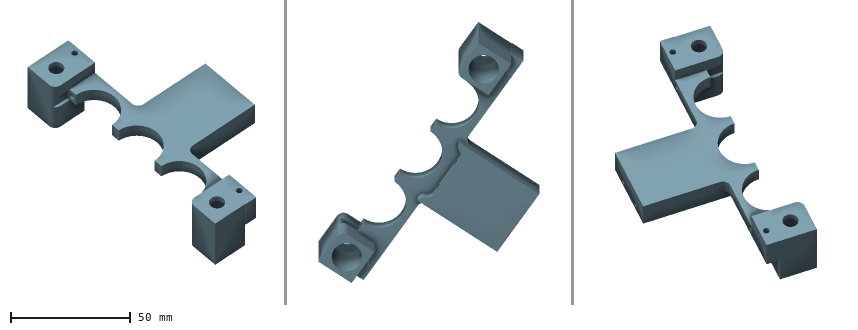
import cadquery as cq


arm_back = 14.2
arm_thickness = 6.4
cradle_pitch = 26.9
cradle_diameter = 22.6
arm_hole_x = 41.0
arm_hole_diameter = 3.1

tab_width = 31.1
tab_back = 52.2
tab_drop = 5.1
tab_front = 11.7
corner_radius = 3.3
tab_hole_x = 6.6
tab_hole_diameter = 2.8
recess_half_width = 9.5

block_outer_x = 59.1
block_width = 16.8
block_front = -8.5
block_top = 12.8
block_bottom = -12.9
foot_back = 8.2
slot_depth = 1.4
side_pad = 0.2
lip_thickness = 2.8
rod_hole_diameter = 6.7
rod_bore_diameter = 12.7
pin_hole_x = 51.8
pin_hole_y = 11.4
pin_hole_diameter = 2.8

block_inner_x = block_outer_x - block_width
block_center_x = block_outer_x - block_width / 2
slot_x = block_inner_x + slot_depth
half_tab = tab_width / 2


def box(x_min, x_max, y_min, y_max, z_min, z_max):
    size = (x_max - x_min, y_max - y_min, z_max - z_min)
    return cq.Workplane("XY").box(*size, centered=False).translate((x_min, y_min, z_min))


def upright_cylinder(x, y, diameter, z_min, z_max):
    disc = cq.Workplane("XY", origin=(x, y, z_min)).circle(diameter / 2)
    return disc.extrude(z_max - z_min)


def hole_along_y(x, z, diameter, y_min, y_max):
    disc = cq.Workplane("XZ", origin=(x, y_max, z)).circle(diameter / 2)
    return disc.extrude(y_max - y_min)


def make_arm():
    """Arm and upper tab layer, blended at the inside corners."""
    arm = box(-slot_x, slot_x, 0, arm_back, 0, arm_thickness)
    arm = arm.union(box(-half_tab, half_tab, 0, tab_back, 0, arm_thickness))
    for side in (-1, 1):
        corner = cq.selectors.NearestToPointSelector((side * half_tab, arm_back, arm_thickness / 2))
        arm = arm.edges("|Z").edges(corner).fillet(corner_radius)
    for index in (-1, 0, 1):
        arm = arm.cut(upright_cylinder(index * cradle_pitch, 0, cradle_diameter, 0, arm_thickness))
    return arm


def make_tab_underside():
    """Lower tab layer whose front is recessed between two S-shaped shoulders."""
    middle_x = (half_tab + recess_half_width) / 2
    run = middle_x - recess_half_width
    rise = corner_radius - (corner_radius**2 - run**2) ** 0.5
    recess_y = tab_front + 2 * rise
    middle_y = tab_front + rise
    outline = (
        cq.Workplane("XY", origin=(0, 0, -tab_drop))
        .moveTo(-half_tab, tab_back)
        .lineTo(-half_tab, tab_front)
        .radiusArc((-middle_x, middle_y), -corner_radius)
        .radiusArc((-recess_half_width, recess_y), corner_radius)
        .lineTo(recess_half_width, recess_y)
        .radiusArc((middle_x, middle_y), corner_radius)
        .radiusArc((half_tab, tab_front), -corner_radius)
        .lineTo(half_tab, tab_back)
        .close()
    )
    tab = outline.extrude(tab_drop)
    for x in (-tab_hole_x, tab_hole_x):
        tab = tab.cut(hole_along_y(x, -tab_drop / 2, tab_hole_diameter, tab_front, tab_back))
    return tab


def make_block(side):
    """Stepped end block; side is -1 for the -X end and 1 for the +X end."""
    block = box(block_inner_x, block_outer_x, block_front, arm_back, block_bottom, block_top)
    block = block.edges("|Z and <X and <Y").fillet(corner_radius)
    block = block.cut(box(block_inner_x, block_outer_x, foot_back, arm_back, block_bottom, 0))
    block = block.cut(box(block_inner_x, slot_x, block_front, 0, 0, arm_thickness))
    block = block.cut(upright_cylinder(block_center_x, 0, rod_hole_diameter, block_bottom, block_top))
    bore_top = block_top - lip_thickness
    block = block.cut(upright_cylinder(block_center_x, 0, rod_bore_diameter, block_bottom, bore_top))
    block = block.cut(upright_cylinder(pin_hole_x, pin_hole_y, pin_hole_diameter, 0, block_top))
    return block if side > 0 else block.mirror("YZ")


result = make_arm().union(make_tab_underside())
for side in (-1, 1):
    result = result.union(make_block(side))
    result = result.cut(hole_along_y(side * arm_hole_x, arm_thickness / 2, arm_hole_diameter, 0, arm_back))

pad_outer_x = block_outer_x + side_pad
result = result.union(box(block_outer_x, pad_outer_x, foot_back, arm_back, 0, block_top))